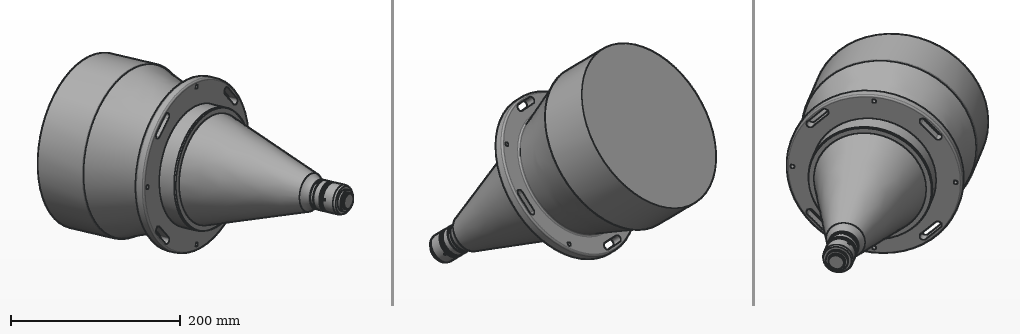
import cadquery as cq
import math

LENGTH = 377.8
DRUM_END = 66.5
BELL_END = 139.5
FLANGE_START = 142.0
FLANGE_END = 155.3
HUB_END = 179.0
TAPER_END = 322.5
NECK_END = 332.5
NECK_GROOVE_START = 334.0
NECK_GROOVE_END = 338.5
RING_GROOVE_START = 347.5
RING_GROOVE_END = 349.0
COLLAR_LINE = 352.0
COLLAR_END = 371.0
STEP_END = 374.8

DRUM_RADIUS = 212.0 / 2
FLANGE_RADIUS = DRUM_RADIUS
BELL_END_RADIUS = 79.7
HUB_RADIUS = 74.8
TAPER_START_RADIUS = 67.5
TAPER_END_RADIUS = 23.5
COLLAR_RADIUS = 18.0
GROOVE_RADIUS = 17.0
STEP_RADIUS = 13.2
TIP_RADIUS = 10.2

DRUM_FILLET = 1.0
ROOT_FILLET = 2.0
FLANGE_FILLET = 2.3
HUB_CHAMFER_LENGTH = 2.3
HUB_CHAMFER_DEPTH = 0.8
COLLAR_CHAMFER_LENGTH = 3.5
COLLAR_CHAMFER_DEPTH = 1.0
TIP_CHAMFER = 1.0
COLLAR_LINE_WIDTH = 1.5
COLLAR_LINE_DEPTH = 0.5
BELL_SAG = 0.5
NECK_SAG = 0.8

SLOT_COUNT = 4
SLOT_PITCH_RADIUS = 96.5
SLOT_LENGTH = 34.0
SLOT_WIDTH = 8.7
PIN_HOLE_COUNT = 4
PIN_HOLE_PITCH_RADIUS = 98.2
PIN_HOLE_DIAMETER = 5.0

SCREW_COUNT = 3
SCREW_X = 355.0
SCREW_DIAMETER = 2.5
SCREW_DEPTH = 3.8
SCREW_START_ANGLE = 173.0


def hollow_arc_middle(start, end, sag):
    """Middle of an arc that dips by `sag` towards the axis below the straight line start-end."""
    run = end[0] - start[0]
    drop = start[1] - end[1]
    chord = math.hypot(run, drop)
    middle_x = (start[0] + end[0]) / 2 - sag * drop / chord
    middle_radius = (start[1] + end[1]) / 2 - sag * run / chord
    return middle_x, middle_radius


def fillet_middle(center, radius, x_side, radial_side):
    """Middle of a quarter-circle fillet, on the given side of its center."""
    reach = radius * math.sqrt(0.5)
    return center[0] + x_side * reach, center[1] + radial_side * reach


def turned_body():
    """Revolve the whole profile, given as (x, radius) points, about the X axis."""
    bell_start = (DRUM_END, DRUM_RADIUS - DRUM_FILLET)
    bell_end = (BELL_END, BELL_END_RADIUS)
    drum_fillet_center = (DRUM_END - DRUM_FILLET, DRUM_RADIUS - DRUM_FILLET)
    root_center = (FLANGE_START - ROOT_FILLET, BELL_END_RADIUS + ROOT_FILLET)
    rim_center_radius = FLANGE_RADIUS - FLANGE_FILLET
    front_rim_center = (FLANGE_START + FLANGE_FILLET, rim_center_radius)
    back_rim_center = (FLANGE_END - FLANGE_FILLET, rim_center_radius)
    neck_start = (TAPER_END, TAPER_END_RADIUS)
    neck_end = (NECK_END, COLLAR_RADIUS)

    profile = (
        cq.Workplane("XY")
        .moveTo(0, 0)
        .lineTo(0, DRUM_RADIUS)
        .lineTo(drum_fillet_center[0], DRUM_RADIUS)
        .threePointArc(fillet_middle(drum_fillet_center, DRUM_FILLET, 1, 1), bell_start)
        .threePointArc(hollow_arc_middle(bell_start, bell_end, BELL_SAG), bell_end)
        .lineTo(root_center[0], BELL_END_RADIUS)
        .threePointArc(fillet_middle(root_center, ROOT_FILLET, 1, -1), (FLANGE_START, root_center[1]))
        .lineTo(FLANGE_START, rim_center_radius)
        .threePointArc(
            fillet_middle(front_rim_center, FLANGE_FILLET, -1, 1), (front_rim_center[0], FLANGE_RADIUS)
        )
        .lineTo(back_rim_center[0], FLANGE_RADIUS)
        .threePointArc(
            fillet_middle(back_rim_center, FLANGE_FILLET, 1, 1), (FLANGE_END, rim_center_radius)
        )
        .lineTo(FLANGE_END, HUB_RADIUS)
        .lineTo(HUB_END - HUB_CHAMFER_LENGTH, HUB_RADIUS)
        .lineTo(HUB_END, HUB_RADIUS - HUB_CHAMFER_DEPTH)
        .lineTo(HUB_END, TAPER_START_RADIUS)
        .lineTo(*neck_start)
        .threePointArc(hollow_arc_middle(neck_start, neck_end, NECK_SAG), neck_end)
        .lineTo(NECK_GROOVE_START, COLLAR_RADIUS)
        .lineTo(NECK_GROOVE_START, GROOVE_RADIUS)
        .lineTo(NECK_GROOVE_END, GROOVE_RADIUS)
        .lineTo(NECK_GROOVE_END, COLLAR_RADIUS)
        .lineTo(RING_GROOVE_START, COLLAR_RADIUS)
        .lineTo(RING_GROOVE_START, GROOVE_RADIUS)
        .lineTo(RING_GROOVE_END, GROOVE_RADIUS)
        .lineTo(RING_GROOVE_END, COLLAR_RADIUS)
        .lineTo(COLLAR_LINE - COLLAR_LINE_WIDTH / 2, COLLAR_RADIUS)
        .lineTo(COLLAR_LINE, COLLAR_RADIUS - COLLAR_LINE_DEPTH)
        .lineTo(COLLAR_LINE + COLLAR_LINE_WIDTH / 2, COLLAR_RADIUS)
        .lineTo(COLLAR_END - COLLAR_CHAMFER_LENGTH, COLLAR_RADIUS)
        .lineTo(COLLAR_END, COLLAR_RADIUS - COLLAR_CHAMFER_DEPTH)
        .lineTo(COLLAR_END, STEP_RADIUS)
        .lineTo(STEP_END, STEP_RADIUS)
        .lineTo(STEP_END, TIP_RADIUS)
        .lineTo(LENGTH - TIP_CHAMFER, TIP_RADIUS)
        .lineTo(LENGTH, TIP_RADIUS - TIP_CHAMFER)
        .lineTo(LENGTH, 0)
        .close()
    )
    return profile.revolve(360, (0, 0, 0), (1, 0, 0))


def flange_slots():
    """Tangential slots through the flange, on the diagonals."""
    first_angle = 180 / SLOT_COUNT
    return (
        cq.Workplane("YZ")
        .workplane(offset=FLANGE_START)
        .polarArray(SLOT_PITCH_RADIUS, first_angle, 360, SLOT_COUNT)
        .slot2D(SLOT_LENGTH, SLOT_WIDTH, 90)
        .extrude(FLANGE_END - FLANGE_START)
    )


def flange_pin_holes():
    """Small holes through the flange, midway between the slots."""
    return (
        cq.Workplane("YZ")
        .workplane(offset=FLANGE_START)
        .polarArray(PIN_HOLE_PITCH_RADIUS, 0, 360, PIN_HOLE_COUNT)
        .circle(PIN_HOLE_DIAMETER / 2)
        .extrude(FLANGE_END - FLANGE_START)
    )


def collar_screw_hole(angle):
    """Radial hole in the collar, at an angle turned from +Y towards +Z."""
    return (
        cq.Workplane("XZ")
        .center(SCREW_X, 0)
        .workplane(offset=-COLLAR_RADIUS)
        .circle(SCREW_DIAMETER / 2)
        .extrude(SCREW_DEPTH)
        .rotate((0, 0, 0), (1, 0, 0), angle)
    )


result = turned_body().cut(flange_slots()).cut(flange_pin_holes())
for index in range(SCREW_COUNT):
    result = result.cut(collar_screw_hole(SCREW_START_ANGLE + index * 360 / SCREW_COUNT))